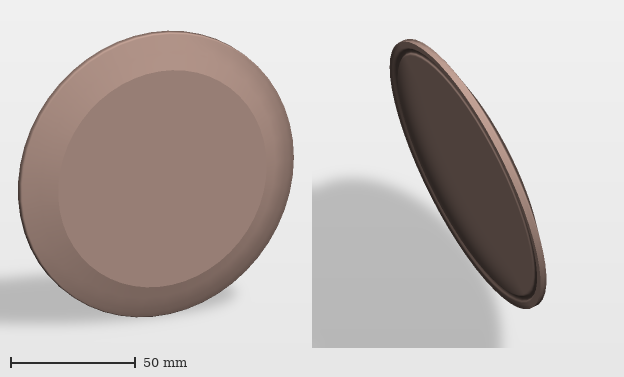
import cadquery as cq
import math

outer_radius = 59.5
thickness = 8.0
back_radius = 45.3
cone_angle = 20.0
rim_blend_radius = 0.8
lip_fillet = 1.0
groove_radius = 1.2
groove_center_radius = 55.0


def disc():
    """Disc with a straight rim and a cone behind it, blended by a tangent arc."""
    slope = math.radians(cone_angle)
    cone_start = thickness - (outer_radius - back_radius) * math.tan(slope)
    setback = rim_blend_radius * math.tan((math.pi / 2 - slope) / 2)
    blend_start = cone_start - setback
    blend_center = outer_radius - rim_blend_radius
    middle_turn = (math.pi / 2 - slope) / 2
    return (
        cq.Workplane("XY")
        .lineTo(0, outer_radius)
        .lineTo(blend_start, outer_radius)
        .threePointArc(
            (
                blend_start + rim_blend_radius * math.sin(middle_turn),
                blend_center + rim_blend_radius * math.cos(middle_turn),
            ),
            (cone_start + setback * math.sin(slope), outer_radius - setback * math.cos(slope)),
        )
        .lineTo(thickness, back_radius)
        .lineTo(thickness, 0)
        .close()
        .revolve(360, (0, 0, 0), (1, 0, 0))
    )


def groove_cutter():
    """Ring with a round bottom centred on the front face and rounded lips."""
    center_distance = groove_radius + lip_fillet
    half_width = math.sqrt(center_distance**2 - lip_fillet**2)
    join_angle = math.asin(lip_fillet / center_distance)
    join_depth = groove_radius * math.sin(join_angle)
    join_offset = groove_radius * math.cos(join_angle)
    lip_angle = (math.pi / 2 - join_angle) / 2
    lip_depth = lip_fillet * (1 - math.cos(lip_angle))
    lip_offset = half_width - lip_fillet * math.sin(lip_angle)
    middle = groove_center_radius
    return (
        cq.Workplane("XY")
        .moveTo(0, middle + half_width)
        .threePointArc((lip_depth, middle + lip_offset), (join_depth, middle + join_offset))
        .threePointArc((groove_radius, middle), (join_depth, middle - join_offset))
        .threePointArc((lip_depth, middle - lip_offset), (0, middle - half_width))
        .close()
        .revolve(360, (0, 0, 0), (1, 0, 0))
    )


result = disc().cut(groove_cutter())